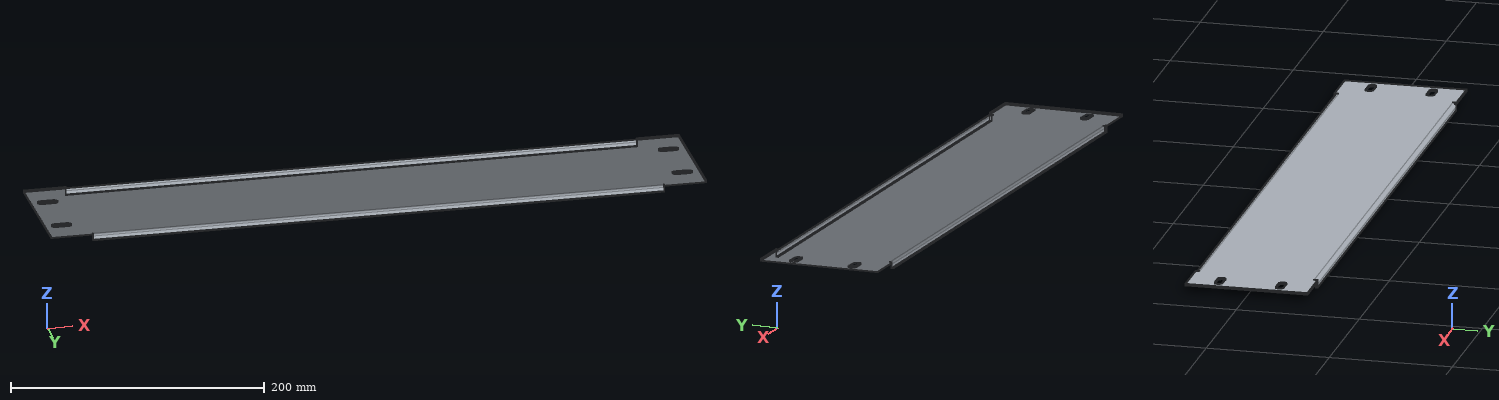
import cadquery as cq

LENGTH = 530.0
WIDTH = 99.0
SHEET = 1.5
FLANGE_DROP = 4.95
HEIGHT = SHEET + FLANGE_DROP

FLANGE_LENGTH = 462.0
BEND_INNER_RADIUS = 1.5
BEND_OUTER_RADIUS = BEND_INNER_RADIUS + SHEET

SLOT_LENGTH = 16.0
SLOT_WIDTH = 6.5
SLOT_SPACING_X = 502.5
SLOT_SPACING_Y = WIDTH / 2


def folded_panel():
    """Channel section, rounded along both folds, extruded along X."""
    channel = (
        cq.Workplane("XY")
        .box(FLANGE_LENGTH, WIDTH, HEIGHT, centered=(True, True, False))
        .edges("|X and >Z")
        .fillet(BEND_OUTER_RADIUS)
    )
    inside = (
        cq.Workplane("XY")
        .box(FLANGE_LENGTH, WIDTH - 2 * SHEET, FLANGE_DROP, centered=(True, True, False))
        .edges("|X and >Z")
        .fillet(BEND_INNER_RADIUS)
    )
    return channel.cut(inside)


def end_ears():
    """Flat full-width ears at both ends of the folded panel."""
    ear_length = (LENGTH - FLANGE_LENGTH) / 2
    ear_center = (FLANGE_LENGTH + ear_length) / 2
    return (
        cq.Workplane("XY", origin=(0, 0, FLANGE_DROP))
        .pushPoints([(-ear_center, 0), (ear_center, 0)])
        .rect(ear_length, WIDTH)
        .extrude(SHEET)
    )


def mounting_slots():
    """Four round-ended cutters, long in X, through the ears."""
    return (
        cq.Workplane("XY")
        .rarray(SLOT_SPACING_X, SLOT_SPACING_Y, 2, 2)
        .slot2D(SLOT_LENGTH, SLOT_WIDTH)
        .extrude(HEIGHT)
    )


result = folded_panel().union(end_ears()).cut(mounting_slots())